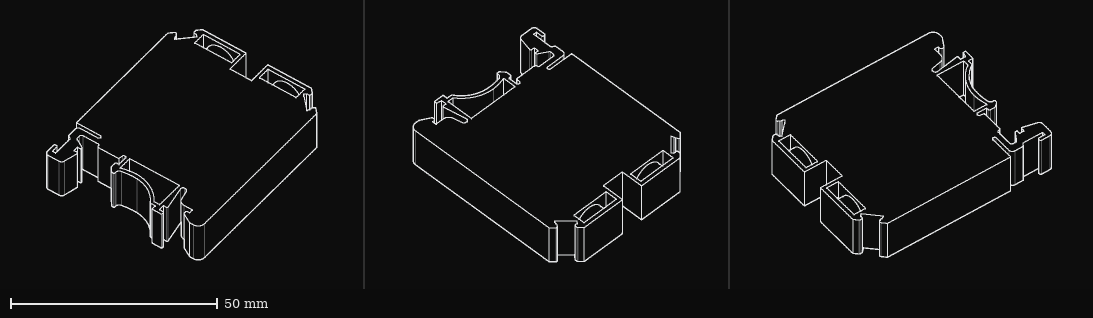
import cadquery as cq
import math

WIDTH = 45.0
HEIGHT = 56.0
THICKNESS = 12.0
MIDDLE_X = WIDTH / 2

TINY_ROUND = 0.2
SMALL_ROUND = 0.3
TIP_ROUND = 0.4
SLOT_ROUND = 0.6
FOOT_ROUND = 1.0
HEEL_ROUND = 1.9

SHOULDER_Y = 50.05
HOUSING_FLOOR_Y = 12.83
UNDERSIDE_Y = 10.9
OVERLAP = 1.0

GAP_WIDTH = 6.5
GAP_DEPTH = 6.6

POCKET_LEFT_X = 7.2
POCKET_WIDTH = 11.1
POCKET_HEIGHT = 3.5
POCKET_TOP_WALL = 1.2
POCKET_FLOOR_Z = 6.5
CLAMP_RADIUS = 4.3
CLAMP_AXIS_X = 12.47

GROOVE_X = 2.95
GROOVE_Y = 49.8
GROOVE_RISE = 3.0
UNDERCUT_RISE = 3.45
GROOVE_SKIN = 0.2
LIP_X = 4.9
LIP_SIDE_BOTTOM_Y = 54.0
LIP_SIDE_TOP_Y = 54.85
LIP_TOP_X = 6.05
LIP_UNDER_Y = 53.8
LIP_UNDER_LEFT_X = 5.05
LIP_UNDER_RIGHT_X = 5.9
HORN_TIP_X = 1.5
HORN_TIP_Y = SHOULDER_Y + HORN_TIP_X
HORN_INNER_X = 2.0
HORN_INNER_Y = 50.75
HORN_ROOT_X = 2.15
HORN_ROOT_Y = 50.1

SLOT_HEIGHT = 0.97
SLOT_END_X = 7.65

FOOT_TOP_Y = HOUSING_FLOOR_Y - SLOT_HEIGHT
FOOT_OUTER_X = 1.0
FOOT_STEM_X = 1.95
FOOT_STEP_TOP_Y = 8.26
FOOT_STEP_BOTTOM_Y = 7.68
HOOK_FLOOR_Y = 1.75
HOOK_TIP_Y = 3.9
FOOT_BOTTOM_RIGHT_X = 5.1
FOOT_NOTCH_X = 5.05
FOOT_NOTCH_BOTTOM_Y = 5.05
FOOT_NOTCH_TOP_Y = 6.4
FOOT_LOWER_TIP_X = 6.35
FOOT_UPPER_TIP_X = 6.1
FOOT_UPPER_TIP_Y = 6.95
BRIDGE_UNDER_Y = 10.3
BRIDGE_END_X = 3.25
BRIDGE_END_Y = 8.6
SEAT_Y = 9.33
SEAT_LEFT_X = 9.0
SEAT_RIGHT_X = 15.4
SEAT_STEP_X = 8.7
POST_SLOT_X = 15.6

CLIP_LEFT_X = 17.5
CLIP_RIGHT_X = 32.5
LEFT_POST_X = 16.55
LEFT_POST_BOTTOM_X = 16.7
LEFT_POST_BOTTOM_Y = 4.65
LEFT_BARB_X = 15.55
LEFT_BARB_TOP_Y = 7.8
LEFT_BARB_BOTTOM_Y = 6.0
RIGHT_POST_FOOT_X = 31.85
RIGHT_POST_BOTTOM_Y = 0.58
RIGHT_POST_TOE_X = 34.85
RIGHT_POST_TOE_Y = 1.35
RIGHT_POST_NECK_X = 33.4
RIGHT_POST_NECK_Y = 1.65
RIGHT_POST_BARB_X = 34.65
RIGHT_POST_BARB_Y = 3.15
ARCH_FOOT_TOP_Y = 2.9
ARCH_FOOT_UNDER_Y = 1.95
ARCH_ROOT_TOP_Y = 7.0
ARCH_ROOT_UNDER_Y = 5.4

ARCH_TOP_LEFT = (19.5, 7.5)
ARCH_TOP_CROWN = (21.7, 7.75)
ARCH_TOP_RIGHT = (27.2, 6.25)
ARCH_TOP_END = (30.8, ARCH_FOOT_TOP_Y)
ARCH_ROOT_MIDDLE = (17.8, 5.95)
ARCH_UNDER_START = (18.5, 6.25)
ARCH_UNDER_LEFT = (20.7, 6.55)
ARCH_UNDER_CROWN = (22.9, 6.55)
ARCH_UNDER_RIGHT = (27.2, 5.15)
ARCH_UNDER_END = (30.0, 2.45)
ARCH_TOE_MIDDLE = (30.3, 2.05)
ARCH_TOE_END = (30.6, ARCH_FOOT_UNDER_Y)

RIGHT_SLOT_LEFT_X = 33.3
RIGHT_SLOT_RIGHT_X = 34.9
RIGHT_SLOT_MOUTH_X = 35.9
RIGHT_UNDERSIDE_Y = 6.2
RIGHT_RECESS_X = 39.9
RIGHT_NOSE_X = 38.95
RIGHT_NOSE_TOP_Y = 5.05
RIGHT_NOSE_BOTTOM_Y = 4.0
RIGHT_BOTTOM_X = 41.9
RIGHT_BOTTOM_Y = 2.35


def rounded_outline(corners):
    """Closed outline through (x, y) corners; a corner given as (x, y, radius) is rounded."""
    stretches = []
    for i, (x, y, *rounding) in enumerate(corners):
        corner = cq.Vector(x, y)
        if not rounding:
            stretches.append([corner])
            continue
        radius = rounding[0]
        following = corners[(i + 1) % len(corners)]
        before = (cq.Vector(*corners[i - 1][:2]) - corner).normalized()
        after = (cq.Vector(*following[:2]) - corner).normalized()
        half_angle = before.getAngle(after) / 2
        setback = radius / math.tan(half_angle)
        arc_middle = corner + (before + after).normalized() * (radius / math.sin(half_angle) - radius)
        stretches.append([corner + before * setback, arc_middle, corner + after * setback])

    path = cq.Workplane("XY").moveTo(*stretches[0][0].toTuple()[:2])
    for i, (start, *arc) in enumerate(stretches):
        if i > 0:
            path = path.lineTo(start.x, start.y)
        if arc:
            middle, end = arc
            path = path.threePointArc((middle.x, middle.y), (end.x, end.y))
    return path.close()


def plate(corners, floor_z=0.0):
    """Plate with the given outline, from floor_z up to the top face."""
    return rounded_outline(corners).extrude(THICKNESS - floor_z).translate((0, 0, floor_z))


def block(left, right, bottom, top, floor_z=0.0):
    """Rectangular plate from floor_z up to the top face."""
    return plate([(left, bottom), (right, bottom), (right, top), (left, top)], floor_z)


def half_housing():
    """Left half of the housing, with the marker groove and half of the central gap."""
    gap_left = MIDDLE_X - GAP_WIDTH / 2
    gap_floor = HEIGHT - GAP_DEPTH
    return plate([
        (0, HOUSING_FLOOR_Y),
        (MIDDLE_X, HOUSING_FLOOR_Y),
        (MIDDLE_X, gap_floor),
        (gap_left, gap_floor),
        (gap_left, HEIGHT),
        (LIP_TOP_X, HEIGHT),
        (LIP_X, LIP_SIDE_TOP_Y, SMALL_ROUND),
        (LIP_X, LIP_SIDE_BOTTOM_Y, SMALL_ROUND),
        (GROOVE_X + GROOVE_RISE, GROOVE_Y + GROOVE_RISE),
        (GROOVE_X, GROOVE_Y),
        (HORN_INNER_X, HORN_INNER_Y, SMALL_ROUND),
        (HORN_TIP_X, HORN_TIP_Y, TIP_ROUND),
        (0, SHOULDER_Y),
    ])


def groove_undercuts():
    """Undercuts below the lip and beside the horn of the left marker groove."""
    below_lip = [
        (LIP_UNDER_LEFT_X, LIP_UNDER_Y),
        (LIP_UNDER_RIGHT_X, LIP_UNDER_Y),
        (GROOVE_X + UNDERCUT_RISE, GROOVE_Y + UNDERCUT_RISE),
        (GROOVE_X + GROOVE_RISE, GROOVE_Y + GROOVE_RISE),
    ]
    extension = UNDERCUT_RISE - GROOVE_RISE
    beside_horn = [
        (HORN_ROOT_X, HORN_INNER_Y),
        (HORN_ROOT_X, HORN_ROOT_Y),
        (GROOVE_X - extension, GROOVE_Y - extension),
        (GROOVE_X, GROOVE_Y),
    ]
    return plate(below_lip, GROOVE_SKIN).union(plate(beside_horn, GROOVE_SKIN))


def screw_pocket():
    """Left screw pocket, less the clamp body that stands on its floor."""
    top = HEIGHT - POCKET_TOP_WALL
    pocket = block(
        POCKET_LEFT_X, POCKET_LEFT_X + POCKET_WIDTH, top - POCKET_HEIGHT, top, POCKET_FLOOR_Z
    )
    clamp = (
        cq.Workplane("XZ", origin=(CLAMP_AXIS_X, top, POCKET_FLOOR_Z))
        .circle(CLAMP_RADIUS)
        .extrude(POCKET_HEIGHT)
    )
    return pocket.cut(clamp)


def left_foot():
    """Hooked spring foot with its bridge, the rail seat and the left post of the clip."""
    return plate([
        (CLIP_LEFT_X, HOUSING_FLOOR_Y + OVERLAP),
        (FOOT_STEM_X, HOUSING_FLOOR_Y + OVERLAP),
        (FOOT_STEM_X, HOUSING_FLOOR_Y),
        (SLOT_END_X, HOUSING_FLOOR_Y, TIP_ROUND),
        (SLOT_END_X, FOOT_TOP_Y, TIP_ROUND),
        (FOOT_OUTER_X, FOOT_TOP_Y, FOOT_ROUND),
        (FOOT_OUTER_X, FOOT_STEP_TOP_Y),
        (FOOT_STEM_X, FOOT_STEP_BOTTOM_Y),
        (FOOT_STEM_X, HOOK_FLOOR_Y),
        (FOOT_OUTER_X, HOOK_FLOOR_Y),
        (FOOT_OUTER_X, HOOK_TIP_Y, TIP_ROUND),
        (0, HOOK_TIP_Y, TIP_ROUND),
        (0, 0, FOOT_ROUND),
        (FOOT_BOTTOM_RIGHT_X, 0, FOOT_ROUND),
        (FOOT_LOWER_TIP_X, FOOT_NOTCH_BOTTOM_Y, SMALL_ROUND),
        (FOOT_NOTCH_X, FOOT_NOTCH_BOTTOM_Y),
        (FOOT_NOTCH_X, FOOT_NOTCH_TOP_Y),
        (FOOT_UPPER_TIP_X, FOOT_NOTCH_TOP_Y),
        (FOOT_UPPER_TIP_X, FOOT_UPPER_TIP_Y, TINY_ROUND),
        (BRIDGE_END_X, BRIDGE_END_Y, SMALL_ROUND),
        (BRIDGE_END_X, BRIDGE_UNDER_Y, SLOT_ROUND),
        (SEAT_STEP_X, BRIDGE_UNDER_Y, SMALL_ROUND),
        (SEAT_LEFT_X, SEAT_Y, TINY_ROUND),
        (SEAT_RIGHT_X, SEAT_Y),
        (POST_SLOT_X, UNDERSIDE_Y, TIP_ROUND),
        (LEFT_POST_X, UNDERSIDE_Y, SMALL_ROUND),
        (LEFT_POST_X, LEFT_BARB_TOP_Y),
        (LEFT_BARB_X, LEFT_BARB_TOP_Y, TIP_ROUND),
        (LEFT_BARB_X, LEFT_BARB_BOTTOM_Y, SMALL_ROUND),
        (LEFT_POST_BOTTOM_X, LEFT_POST_BOTTOM_Y, TINY_ROUND),
        (CLIP_LEFT_X, LEFT_POST_BOTTOM_Y, TINY_ROUND),
    ])


def arch():
    """Springy arch between the two posts of the clip, with a rounded root at the left post."""
    return (
        cq.Workplane("XY")
        .moveTo(LEFT_POST_X, ARCH_ROOT_UNDER_Y)
        .lineTo(LEFT_POST_X, ARCH_ROOT_TOP_Y)
        .lineTo(CLIP_LEFT_X, ARCH_ROOT_TOP_Y)
        .threePointArc(ARCH_TOP_LEFT, ARCH_TOP_CROWN)
        .threePointArc(ARCH_TOP_RIGHT, ARCH_TOP_END)
        .lineTo(CLIP_RIGHT_X, ARCH_FOOT_TOP_Y)
        .lineTo(CLIP_RIGHT_X, ARCH_FOOT_UNDER_Y)
        .lineTo(*ARCH_TOE_END)
        .threePointArc(ARCH_TOE_MIDDLE, ARCH_UNDER_END)
        .threePointArc(ARCH_UNDER_RIGHT, ARCH_UNDER_CROWN)
        .threePointArc(ARCH_UNDER_LEFT, ARCH_UNDER_START)
        .threePointArc(ARCH_ROOT_MIDDLE, (CLIP_LEFT_X, ARCH_ROOT_UNDER_Y))
        .close()
        .extrude(THICKNESS)
    )


def right_foot():
    """Fixed foot at the right end, the slot beside it and the right post of the clip."""
    return plate([
        (CLIP_RIGHT_X, HOUSING_FLOOR_Y + OVERLAP),
        (CLIP_RIGHT_X, ARCH_FOOT_TOP_Y),
        (RIGHT_POST_FOOT_X, ARCH_FOOT_TOP_Y),
        (RIGHT_POST_FOOT_X, RIGHT_POST_BOTTOM_Y),
        (RIGHT_POST_TOE_X, RIGHT_POST_BOTTOM_Y),
        (RIGHT_POST_TOE_X, RIGHT_POST_TOE_Y),
        (RIGHT_POST_NECK_X, RIGHT_POST_NECK_Y),
        (RIGHT_POST_NECK_X, RIGHT_POST_BARB_Y),
        (RIGHT_POST_BARB_X, RIGHT_POST_BARB_Y, TINY_ROUND),
        (RIGHT_SLOT_LEFT_X, UNDERSIDE_Y, SLOT_ROUND),
        (RIGHT_SLOT_RIGHT_X, UNDERSIDE_Y, SLOT_ROUND),
        (RIGHT_SLOT_MOUTH_X, RIGHT_UNDERSIDE_Y, HEEL_ROUND),
        (RIGHT_RECESS_X, RIGHT_UNDERSIDE_Y),
        (RIGHT_RECESS_X, RIGHT_NOSE_TOP_Y),
        (RIGHT_NOSE_X, RIGHT_NOSE_TOP_Y, TIP_ROUND),
        (RIGHT_NOSE_X, RIGHT_NOSE_BOTTOM_Y, SMALL_ROUND),
        (RIGHT_BOTTOM_X, RIGHT_BOTTOM_Y),
        (WIDTH, RIGHT_BOTTOM_Y, HEEL_ROUND),
        (WIDTH, HOUSING_FLOOR_Y + OVERLAP),
    ])


def housing():
    """Both mirrored halves of the housing and the strip above the clip window."""
    left_half = half_housing().cut(groove_undercuts()).cut(screw_pocket())
    right_half = left_half.mirror("YZ", (MIDDLE_X, 0, 0))
    window_head = block(CLIP_LEFT_X, CLIP_RIGHT_X, UNDERSIDE_Y, HOUSING_FLOOR_Y + OVERLAP)
    return left_half.union(right_half).union(window_head)


result = housing().union(left_foot()).union(right_foot()).union(arch()).clean()